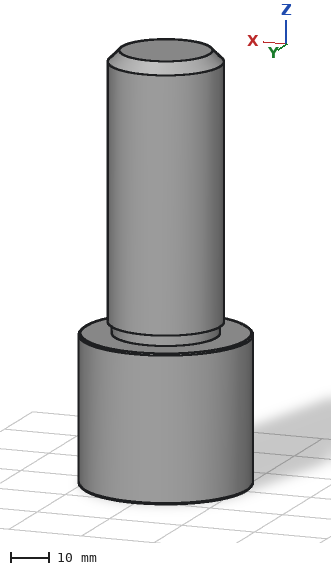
import cadquery as cq

total_length = 115.0
head_diameter = 45.0
head_length = 40.0
head_chamfer = 0.5
neck_diameter = 28.0
neck_length = 3.0
shank_diameter = 30.0
shank_chamfer = 3.0

shank_length = total_length - head_length - neck_length


def make_head():
    """Cylindrical head standing on the XY plane, with both rims broken."""
    head = cq.Workplane("XY").circle(head_diameter / 2).extrude(head_length)
    return head.edges("%CIRCLE").chamfer(head_chamfer)


def add_neck(body):
    """Relief neck between the head and the shank."""
    return body.faces(">Z").workplane().circle(neck_diameter / 2).extrude(neck_length)


def add_shank(body):
    """Long shank with a chamfered free end."""
    body = body.faces(">Z").workplane().circle(shank_diameter / 2).extrude(shank_length)
    return body.faces(">Z").edges().chamfer(shank_chamfer)


result = add_shank(add_neck(make_head()))